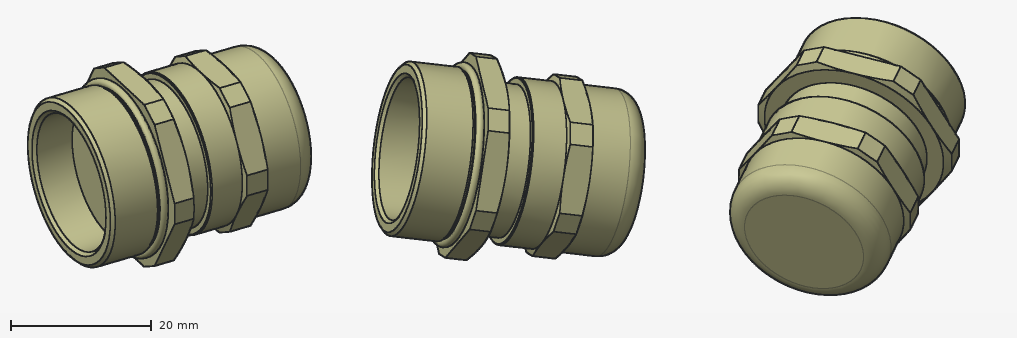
import cadquery as cq
import math


TOTAL_LENGTH = 34.0

THREAD_RADIUS = 12.5
THREAD_END = 7.82
THREAD_CHAMFER = 0.5
RUNOUT_CHAMFER = 0.4

BORE_RADIUS = 10.25
BORE_DEPTH = 6.25
BORE_CHAMFER = 0.5

BODY_HEX_START = 9.0
BODY_HEX_LENGTH = 3.57
BODY_HEX_END = BODY_HEX_START + BODY_HEX_LENGTH
BODY_HEX_ACROSS_FLATS = 27.0
BODY_HEX_ACROSS_CORNERS = 29.17
BODY_HEX_BEVEL_ANGLE = 20.0

RING_SECTION_RADIUS = 0.6
RING_OUTER_RADIUS = 13.25

NECK_RADIUS = 11.0

CAP_START = 16.42
CAP_RADIUS = 12.05
CAP_EDGE_CHAMFER = 0.17
CAP_ROUNDING = 3.05
CAP_HEX_START = 21.5
CAP_HEX_LENGTH = 3.9
CAP_HEX_ACROSS_CORNERS = 25.85
CAP_HEX_BEVEL_ANGLE = 15.0

HEX_SIDES = 6


def cylinder(radius, start, end):
    """Solid cylinder along Y from start to end."""
    return cq.Workplane("XZ", origin=(0, start, 0)).circle(radius).extrude(start - end)


def revolved(profile):
    """Solid turned about Y from an outline of (radius, y) points."""
    return cq.Workplane("XY").polyline(profile).close().revolve(360, (0, 0, 0), (0, 1, 0))


def hex_prism(across_flats, start, length, turn):
    """Hexagonal prism along Y; a turn of 0 puts two corners on the X axis."""
    corner_diameter = across_flats / math.cos(math.pi / HEX_SIDES)
    outline = cq.Workplane("XZ", origin=(0, start, 0)).polygon(HEX_SIDES, corner_diameter)
    prism = outline.extrude(-length)
    return prism.rotate((0, 0, 0), (0, 1, 0), turn)


def bevel_cone(flat_radius, face_y, inward, angle):
    """Solid cone about Y whose slope crosses an end face at flat_radius.

    Intersecting a nut with it bevels the rim of that face. inward is +1 or -1,
    the Y direction from the end face into the nut.
    """
    slope = inward * math.tan(math.radians(angle))
    cone_radius = TOTAL_LENGTH
    apex_y = face_y - flat_radius * slope
    base_y = apex_y + cone_radius * slope
    return revolved([(0, apex_y), (cone_radius, base_y), (0, base_y)])


def nut(across_flats, across_corners, start, length):
    """Hexagon with its six corners cut flat."""
    corner_cut = hex_prism(across_corners, start, length, 180 / HEX_SIDES)
    return hex_prism(across_flats, start, length, 0).intersect(corner_cut)


def threaded_end():
    """Plain thread body chamfered at both ends, with the seat under the sealing ring."""
    thread = cylinder(THREAD_RADIUS, 0, THREAD_END)
    thread = thread.faces("<Y").chamfer(THREAD_CHAMFER)
    thread = thread.faces(">Y").chamfer(RUNOUT_CHAMFER)
    seat = cylinder(THREAD_RADIUS - RUNOUT_CHAMFER, THREAD_END, BODY_HEX_START)
    return thread.union(seat)


def sealing_ring():
    """Round-section ring, with the inner corner against the body hexagon filled in."""
    centre_radius = RING_OUTER_RADIUS - RING_SECTION_RADIUS
    inner_radius = centre_radius - RING_SECTION_RADIUS
    centre_y = BODY_HEX_START - RING_SECTION_RADIUS
    diagonal = RING_SECTION_RADIUS * math.sqrt(0.5)
    return (
        cq.Workplane("XY")
        .moveTo(inner_radius, BODY_HEX_START)
        .lineTo(centre_radius, BODY_HEX_START)
        .threePointArc((centre_radius + diagonal, centre_y - diagonal), (inner_radius, centre_y))
        .close()
        .revolve(360, (0, 0, 0), (0, 1, 0))
    )


def body_hexagon():
    """Large hexagon, bevelled only on the side facing the neck."""
    hexagon = nut(BODY_HEX_ACROSS_FLATS, BODY_HEX_ACROSS_CORNERS, BODY_HEX_START, BODY_HEX_LENGTH)
    return hexagon.intersect(bevel_cone(BODY_HEX_ACROSS_FLATS / 2, BODY_HEX_END, -1, BODY_HEX_BEVEL_ANGLE))


def cap_hexagon():
    """Small hexagon, bevelled on both sides down to the cap radius."""
    hexagon = nut(2 * CAP_RADIUS, CAP_HEX_ACROSS_CORNERS, CAP_HEX_START, CAP_HEX_LENGTH)
    hexagon = hexagon.intersect(bevel_cone(CAP_RADIUS, CAP_HEX_START, 1, CAP_HEX_BEVEL_ANGLE))
    return hexagon.intersect(bevel_cone(CAP_RADIUS, CAP_HEX_START + CAP_HEX_LENGTH, -1, CAP_HEX_BEVEL_ANGLE))


def cap_nut():
    """Round cap with its hexagon, rounded over at the closed end."""
    sleeve = cylinder(CAP_RADIUS, CAP_START, TOTAL_LENGTH)
    sleeve = sleeve.faces("<Y").chamfer(CAP_EDGE_CHAMFER)
    sleeve = sleeve.faces(">Y").edges().fillet(CAP_ROUNDING)
    return sleeve.union(cap_hexagon())


def bore():
    """Blind hole with a countersunk mouth."""
    return revolved(
        [
            (0, 0),
            (BORE_RADIUS + BORE_CHAMFER, 0),
            (BORE_RADIUS, BORE_CHAMFER),
            (BORE_RADIUS, BORE_DEPTH),
            (0, BORE_DEPTH),
        ]
    )


neck = cylinder(NECK_RADIUS, BODY_HEX_END, CAP_START)

result = (
    threaded_end()
    .union(sealing_ring())
    .union(body_hexagon())
    .union(neck)
    .union(cap_nut())
    .cut(bore())
)